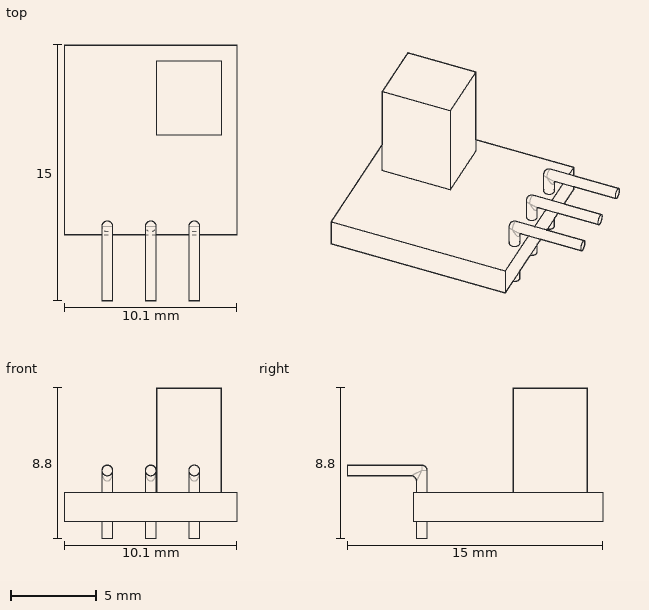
import cadquery as cq

board_width = 10.1
board_depth = 11.1
board_thickness = 1.7

block_width = 3.78
block_depth = 4.34
block_height = 6.1
block_margin = 0.93

pin_count = 3
pin_pitch = 2.54
pin_diameter = 0.63
pin_radius = pin_diameter / 2
pin_inset = 0.5
pin_reach = 3.85
pin_drop = 1.0
pin_rise = 1.29
inner_bend_radius = 0.31


def make_board():
    return cq.Workplane("XY").box(board_width, board_depth, board_thickness, centered=(True, False, False))


def make_block():
    center_x = board_width / 2 - block_margin - block_width / 2
    center_y = board_depth - block_margin - block_depth / 2
    return (
        cq.Workplane("XY", origin=(center_x, center_y, board_thickness))
        .rect(block_width, block_depth)
        .extrude(block_height)
    )


def make_pin(x):
    """Upright and horizontal rods joined by a ball, with a filleted inner corner."""
    bend_z = board_thickness + pin_rise
    bend = (x, pin_inset, bend_z)
    upright = cq.Workplane("XY", origin=bend).circle(pin_radius).extrude(-(bend_z + pin_drop))
    arm = cq.Workplane("XZ", origin=bend).circle(pin_radius).extrude(pin_inset + pin_reach)
    ball = cq.Workplane("XY", origin=bend).sphere(pin_radius)
    inner_corner = cq.selectors.BoxSelector(
        (x - pin_radius, pin_inset - pin_diameter, bend_z - pin_diameter),
        (x + pin_radius, pin_inset - pin_radius / 10, bend_z - pin_radius / 10),
    )
    return upright.union(arm).union(ball).edges(inner_corner).fillet(inner_bend_radius)


result = make_board().union(make_block())
for index in range(pin_count):
    pin_x = (index - (pin_count - 1) / 2) * pin_pitch
    result = result.union(make_pin(pin_x))